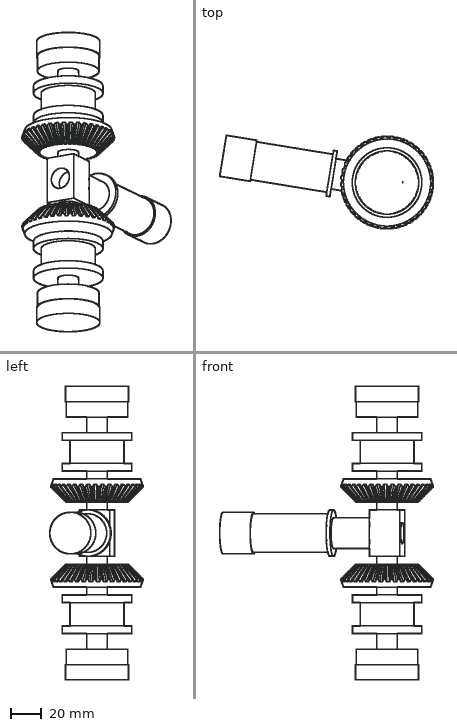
import cadquery as cq
import math

SHAFT_RADIUS = 6.75
SPOOL_GAP = 5.0
COLLAR_GAP = 10.0
FLANGE_RADIUS = 22.5
FLANGE_THICKNESS = 5.0
DRUM_RADIUS = 17.5
DRUM_LENGTH = 15.0
COLLAR_RADIUS = 20.0
CAP_RADIUS = 20.5
COLLAR_LENGTH = 10.0
CAP_LENGTH = 10.0

GEAR_TIP_RADIUS = 30.0
GEAR_FACE_RADIUS = 20.0
GEAR_BACK_RADIUS = 28.2
GEAR_RIM_HEIGHT = 5.0
TOOTH_COUNT = 40
UPPER_TOOTH_PHASE = 2.4
LOWER_TOOTH_PHASE = 5.8
GROOVE_DEPTH = 1.5
GROOVE_TOP_WIDTH = 3.7
GROOVE_FLOOR_WIDTH = 1.5

BLOCK_WIDTH = 20.0
BLOCK_HEIGHT = 30.0
BORE_RADIUS = SHAFT_RADIUS
BORE_DEPTH = BLOCK_WIDTH / 2

ARM_SWING = 9.25
STUB_RADIUS = 10.0
STUB_LENGTH = 25.0
ARM_FLANGE_RADIUS = 15.0
ARM_FLANGE_THICKNESS = 2.5
GRIP_RADIUS = 12.5
GRIP_LENGTH = 50.0
GRIP_CAP_RADIUS = 13.5
GRIP_CAP_LENGTH = 20.0

GEAR_FACE_Z = GEAR_FACE_RADIUS
GEAR_TIP_Z = GEAR_TIP_RADIUS
GEAR_BACK_Z = GEAR_TIP_Z + GEAR_RIM_HEIGHT
SPOOL_Z = GEAR_BACK_Z + SPOOL_GAP
SPOOL_END_Z = SPOOL_Z + 2 * FLANGE_THICKNESS + DRUM_LENGTH
COLLAR_Z = SPOOL_END_Z + COLLAR_GAP


def turn(body, angle):
    """Turn a body about the shaft axis."""
    return body.rotate((0, 0, 0), (0, 0, 1), angle)


def stack_of_cylinders(start, segments):
    """Coaxial cylinders along +Z from start, given as (radius, length) pairs."""
    stack = cq.Workplane("XY")
    z = start
    for radius, length in segments:
        stack = stack.union(cq.Workplane("XY").workplane(offset=z).circle(radius).extrude(length))
        z += length
    return stack


def groove_section(cone_distance):
    """Trapezoid across a tooth groove, scaled by its distance from the cone apex."""
    scale = cone_distance / (GEAR_TIP_RADIUS * math.sqrt(2))
    half_top = GROOVE_TOP_WIDTH / 2 * scale
    half_floor = GROOVE_FLOOR_WIDTH / 2 * scale
    depth = GROOVE_DEPTH * scale
    along = cone_distance / math.sqrt(2)
    plane = cq.Plane(origin=(along, 0, along), xDir=(0, 1, 0), normal=(-1, 0, -1))
    corners = [(-half_top, 0), (half_top, 0), (half_floor, -depth), (-half_floor, -depth)]
    return cq.Workplane(plane).polyline(corners).close().val()


def bevel_gear():
    """Upper bevel gear with straight teeth that taper towards the origin; one tooth is on +X."""
    half_section = [
        (0, GEAR_FACE_Z),
        (GEAR_FACE_RADIUS, GEAR_FACE_Z),
        (GEAR_TIP_RADIUS, GEAR_TIP_Z),
        (GEAR_BACK_RADIUS, GEAR_BACK_Z),
        (0, GEAR_BACK_Z),
    ]
    blank = cq.Workplane("XZ").polyline(half_section).close().revolve(360, (0, 0), (0, 1))
    near = groove_section(GEAR_FACE_RADIUS)
    far = groove_section(2 * GEAR_TIP_RADIUS)
    groove = cq.Solid.makeLoft([near, far], True)
    pitch = 360 / TOOTH_COUNT
    grooves = []
    for index in range(TOOTH_COUNT):
        angle = (index + 0.5) * pitch
        grooves.append(groove.rotate(cq.Vector(0, 0, 0), cq.Vector(0, 0, 1), angle))
    return cq.Workplane(blank.val().cut(*grooves))


def shaft_half(gear, tooth_phase):
    """Upper half of the shaft with its spool, end cap and the gear turned by tooth_phase."""
    shaft = stack_of_cylinders(0, [(SHAFT_RADIUS, COLLAR_Z)])
    spool = stack_of_cylinders(
        SPOOL_Z,
        [
            (FLANGE_RADIUS, FLANGE_THICKNESS),
            (DRUM_RADIUS, DRUM_LENGTH),
            (FLANGE_RADIUS, FLANGE_THICKNESS),
        ],
    )
    end = stack_of_cylinders(COLLAR_Z, [(COLLAR_RADIUS, COLLAR_LENGTH), (CAP_RADIUS, CAP_LENGTH)])
    return shaft.union(turn(gear, tooth_phase)).union(spool).union(end)


def arm():
    """Arm along -X, starting at the block face."""
    stack = stack_of_cylinders(
        BLOCK_WIDTH / 2,
        [
            (STUB_RADIUS, STUB_LENGTH),
            (ARM_FLANGE_RADIUS, ARM_FLANGE_THICKNESS),
            (GRIP_RADIUS, GRIP_LENGTH),
            (GRIP_CAP_RADIUS, GRIP_CAP_LENGTH),
        ],
    )
    return stack.rotate((0, 0, 0), (0, 1, 0), -90)


def bore():
    """Blind bore in the block face opposite the arm."""
    start = BLOCK_WIDTH / 2 - BORE_DEPTH
    return cq.Workplane("YZ").workplane(offset=start).circle(BORE_RADIUS).extrude(BORE_DEPTH)


gear = bevel_gear()
upper = shaft_half(gear, UPPER_TOOTH_PHASE)
lower = shaft_half(gear, LOWER_TOOTH_PHASE).mirror("XY")
block = cq.Workplane("XY").box(BLOCK_WIDTH, BLOCK_WIDTH, BLOCK_HEIGHT)
arm_and_block = turn(block.union(arm()), -ARM_SWING)
result = upper.union(lower).union(arm_and_block).cut(turn(bore(), -ARM_SWING))